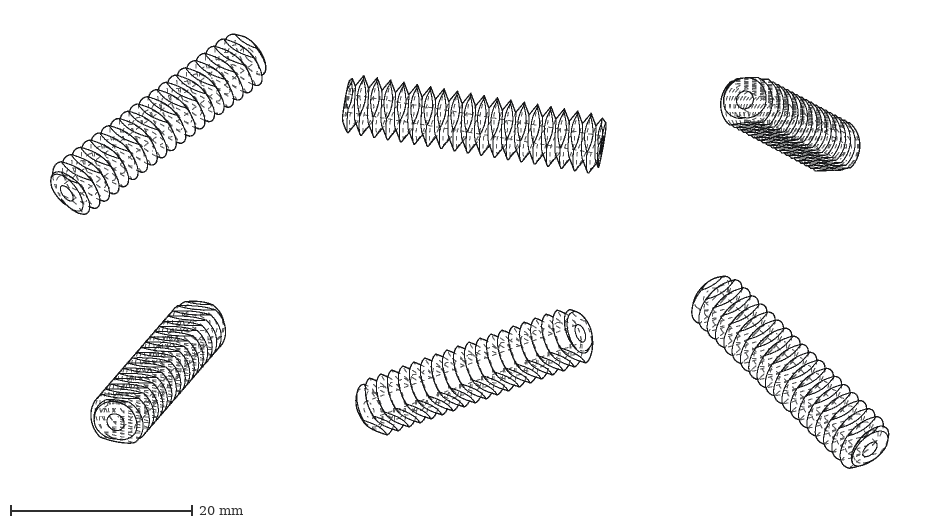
import cadquery as cq
import math

LENGTH = 28.75
CREST_RADIUS = 3.3
PITCH = 1.5
THREAD_ANGLE = 60.0
FLAT_THICKNESS = 5.0
BORE_DIAMETER = 2.0
CHAMFER_END_RADIUS = 2.5

HALF_PITCH = PITCH / 2
ROOT_RADIUS = CREST_RADIUS - HALF_PITCH / math.tan(math.radians(THREAD_ANGLE / 2))
BORE_RADIUS = BORE_DIAMETER / 2

RUN_OUT = 2 * PITCH
TURNS = math.ceil((LENGTH + 2 * RUN_OUT) / PITCH)
THREAD_START = -RUN_OUT - HALF_PITCH

ENVELOPE_CLEARANCE = 1.0
ENVELOPE_RADIUS = CREST_RADIUS + ENVELOPE_CLEARANCE


def helix_turn(radius, height):
    """One right-handed turn about Z, starting on the XZ plane at the given height."""
    helix = cq.Wire.makeHelix(PITCH, PITCH, radius)
    return helix.translate(cq.Vector(0, 0, height)).Edges()[0]


def flank_faces(height):
    """The two flanks of one turn, from root to crest and from crest to the next root."""
    crest = helix_turn(CREST_RADIUS, height + HALF_PITCH)
    near_root = helix_turn(ROOT_RADIUS, height)
    far_root = helix_turn(ROOT_RADIUS, height + PITCH)
    return [
        cq.Face.makeRuledSurface(near_root, crest),
        cq.Face.makeRuledSurface(crest, far_root),
    ]


def end_faces(height):
    """Spiral ramp from the axis to the root, and the axial step that closes it."""
    axis_low = cq.Vector(0, 0, height)
    axis_high = cq.Vector(0, 0, height + PITCH)
    axis = cq.Edge.makeLine(axis_low, axis_high)
    ramp = cq.Face.makeRuledSurface(axis, helix_turn(ROOT_RADIUS, height))
    step_corners = [
        axis_low,
        cq.Vector(ROOT_RADIUS, 0, height),
        cq.Vector(CREST_RADIUS, 0, height + HALF_PITCH),
        cq.Vector(ROOT_RADIUS, 0, height + PITCH),
        axis_high,
    ]
    step = cq.Face.makeFromWires(cq.Wire.makePolygon(step_corners, close=True))
    return [ramp, step]


def long_thread():
    """Sharp V thread along Y, longer than the part at both ends."""
    faces = end_faces(0) + end_faces(TURNS * PITCH)
    for turn in range(TURNS):
        faces += flank_faces(turn * PITCH)
    thread = cq.Workplane(obj=cq.Solid.makeSolid(cq.Shell.makeShell(faces)))
    thread = thread.translate((0, 0, THREAD_START))
    thread = thread.rotate((0, 0, 0), (0, 0, 1), -90)
    return thread.rotate((0, 0, 0), (1, 0, 0), -90)


def chamfered_envelope():
    """Hollow revolved envelope about Y: the end faces, the 45 degree chamfers and the bore."""
    chamfer_run = ENVELOPE_RADIUS - CHAMFER_END_RADIUS
    return (
        cq.Workplane("XY")
        .moveTo(BORE_RADIUS, 0)
        .lineTo(CHAMFER_END_RADIUS, 0)
        .lineTo(ENVELOPE_RADIUS, chamfer_run)
        .lineTo(ENVELOPE_RADIUS, LENGTH - chamfer_run)
        .lineTo(CHAMFER_END_RADIUS, LENGTH)
        .lineTo(BORE_RADIUS, LENGTH)
        .close()
        .revolve(360, (0, 0, 0), (0, 1, 0))
    )


def flats_slab():
    """Slab whose upper and lower faces cut the two flats."""
    slab = cq.Workplane("XY").box(2 * ENVELOPE_RADIUS, LENGTH, FLAT_THICKNESS)
    return slab.translate((0, LENGTH / 2, 0))


trimming_body = chamfered_envelope().intersect(flats_slab())
result = long_thread().intersect(trimming_body)